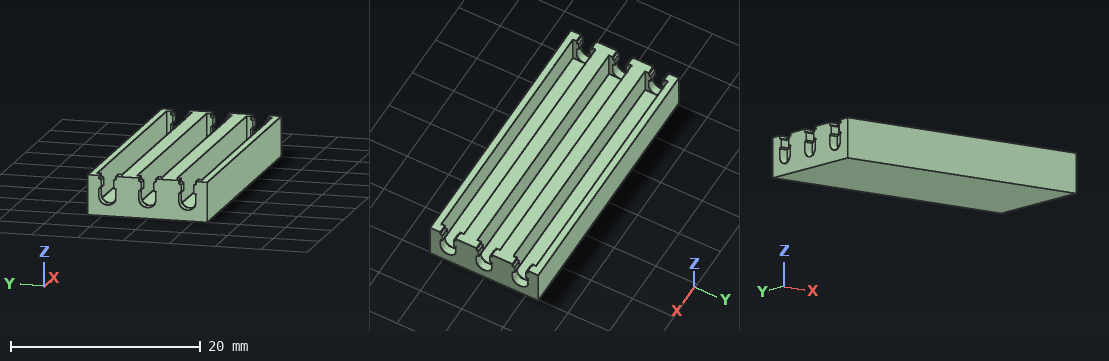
import cadquery as cq

length = 30.3
width = 13.05
height = 4.35

channel_count = 3
channel_pitch = width / channel_count
channel_depth = 3.15
pocket_width = 2.73
end_wall = 1.0

slot_width = 1.85
slot_radius = slot_width / 2
neck_width = 1.35
lip_top_depth = 0.3
lip_bottom_depth = 1.42
lip_slope_height = 0.15

channel_floor = height - channel_depth
pocket_length = length - 2 * end_wall


def make_pocket():
    """Rectangular pocket between the end walls, centred on Y = 0."""
    return (
        cq.Workplane("XY", origin=(0, 0, channel_floor))
        .rect(pocket_length, pocket_width)
        .extrude(channel_depth)
    )


def make_lip(side):
    """Lip with sloped flanks on one slot wall; side is +1 or -1 along Y."""
    wall_y = side * slot_width / 2
    tip_y = side * neck_width / 2
    lip_top = height - lip_top_depth
    lip_bottom = height - lip_bottom_depth
    return (
        cq.Workplane("YZ")
        .moveTo(wall_y, lip_top)
        .lineTo(tip_y, lip_top - lip_slope_height)
        .lineTo(tip_y, lip_bottom + lip_slope_height)
        .lineTo(wall_y, lip_bottom)
        .close()
        .extrude(length / 2, both=True)
    )


def make_slot():
    """Full-length slot, centred on Y = 0, with the lips left standing."""
    arc_centre_z = channel_floor + slot_radius
    slot = (
        cq.Workplane("YZ")
        .moveTo(-slot_radius, height)
        .lineTo(-slot_radius, arc_centre_z)
        .threePointArc((0, channel_floor), (slot_radius, arc_centre_z))
        .lineTo(slot_radius, height)
        .close()
        .extrude(length / 2, both=True)
    )
    for side in (-1, 1):
        slot = slot.cut(make_lip(side))
    return slot


channel = make_slot().union(make_pocket())
result = cq.Workplane("XY").box(length, width, height, centered=(True, True, False))
for index in range(channel_count):
    channel_y = (index - (channel_count - 1) / 2) * channel_pitch
    result = result.cut(channel.translate((0, channel_y, 0)))